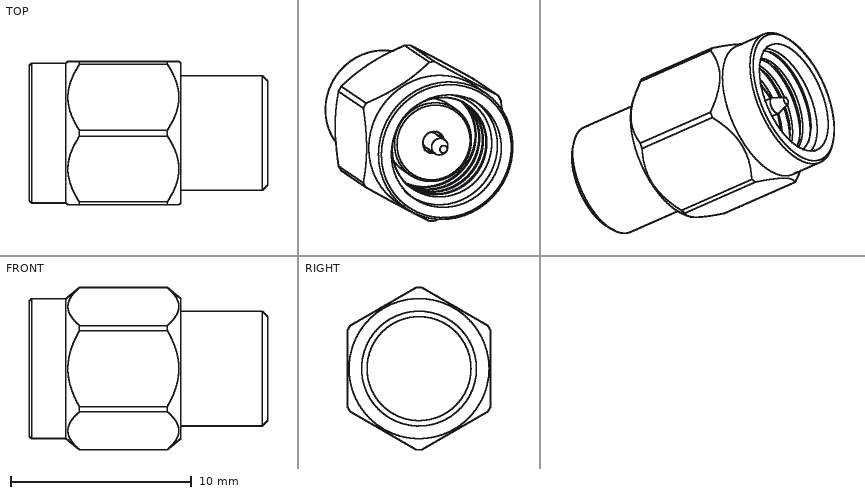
import cadquery as cq
import math

total_length = 13.21
nut_front = 2.03
nut_back = 8.40
collar_radius = 3.88
collar_chamfer = 0.13
barrel_radius = 3.18
barrel_chamfer = 0.30

across_flats = 7.94
corner_radius = 4.495
nut_bevel_radius = collar_radius
nut_bevel_length = 0.75

millimetres_per_inch = 25.4
threads_per_inch = 36
flank_angle = math.radians(30)
pitch = millimetres_per_inch / threads_per_inch
sharp_height = pitch / 2 / math.tan(flank_angle)
thread_depth = 5 / 8 * sharp_height
crest_width = pitch / 4
root_width = pitch / 8
major_radius = 3.155
minor_radius = major_radius - thread_depth
thread_start = -0.04
relief_radius = 3.175
relief_depth = 0.76
relief_cone_end = relief_depth + relief_radius - minor_radius
socket_depth = 4.0
socket_seam_angle = 137

ferrule_radius = 2.22
ferrule_chamfer = 0.11
ferrule_face = 2.5
pin_radius = 0.47
pin_tip_radius = 0.21
pin_tip = 0.54
pin_cone_end = 1.28
pin_gap_radius = 0.62
pin_gap_depth = 0.5


def turned(points):
    """Revolve a closed (x, radius) outline about the X axis."""
    return cq.Workplane("XY").polyline(points).close().revolve(360, (0, 0, 0), (1, 0, 0))


def make_outer_body():
    collar_and_barrel = turned([
        (0, 0),
        (0, collar_radius - collar_chamfer),
        (collar_chamfer, collar_radius),
        (nut_front, collar_radius),
        (nut_front, barrel_radius),
        (total_length - barrel_chamfer, barrel_radius),
        (total_length, barrel_radius - barrel_chamfer),
        (total_length, 0),
    ])
    return collar_and_barrel.union(make_hex_nut())


def make_hex_nut():
    """Hexagonal prism with turned corners and a conical bevel at each end."""
    across_corners = across_flats / math.cos(math.pi / 6)
    prism = (
        cq.Workplane("YZ", origin=(nut_front, 0, 0))
        .transformed(rotate=(0, 0, 90))
        .polygon(6, across_corners)
        .extrude(nut_back - nut_front)
    )
    envelope = turned([
        (nut_front, 0),
        (nut_front, nut_bevel_radius),
        (nut_front + nut_bevel_length, corner_radius),
        (nut_back - nut_bevel_length, corner_radius),
        (nut_back, nut_bevel_radius),
        (nut_back, 0),
    ])
    return prism.intersect(envelope)


def make_thread_groove():
    """Right-handed trapezoidal groove, trimmed flat at the socket mouth and floor."""
    turns = math.ceil((socket_depth - thread_start) / pitch) + 1
    overlap = 0.05
    half_root = root_width / 2
    half_mouth = (pitch - crest_width) / 2 + overlap * math.tan(flank_angle)
    inner_radius = minor_radius - overlap
    helix = cq.Wire.makeHelix(pitch, turns * pitch, minor_radius)
    groove = (
        cq.Workplane("XZ")
        .polyline([
            (inner_radius, -half_mouth),
            (major_radius, -half_root),
            (major_radius, half_root),
            (inner_radius, half_mouth),
        ])
        .close()
        .sweep(cq.Workplane(helix), isFrenet=True)
        .rotate((0, 0, 0), (0, 1, 0), 90)
        .translate((thread_start, 0, 0))
    )
    trim = cq.Workplane("YZ").circle(collar_radius).extrude(socket_depth)
    return groove.intersect(trim)


def make_socket():
    """Stepped bore, its seam turned off the start of the groove so the two cut cleanly."""
    bore = turned([
        (0, 0),
        (0, relief_radius),
        (relief_depth, relief_radius),
        (relief_cone_end, minor_radius),
        (socket_depth, minor_radius),
        (socket_depth, 0),
    ])
    return bore.rotate((0, 0, 0), (1, 0, 0), socket_seam_angle)


def make_ferrule_and_pin():
    """Chamfered ferrule standing on the socket floor, with the pin in a ring-shaped gap."""
    gap_floor = ferrule_face + pin_gap_depth
    return turned([
        (pin_tip, 0),
        (pin_tip, pin_tip_radius),
        (pin_cone_end, pin_radius),
        (gap_floor, pin_radius),
        (gap_floor, pin_gap_radius),
        (ferrule_face, pin_gap_radius),
        (ferrule_face, ferrule_radius - ferrule_chamfer),
        (ferrule_face + ferrule_chamfer, ferrule_radius),
        (socket_depth, ferrule_radius),
        (socket_depth, 0),
    ])


result = (
    make_outer_body()
    .cut(make_socket())
    .cut(make_thread_groove())
    .union(make_ferrule_and_pin())
)